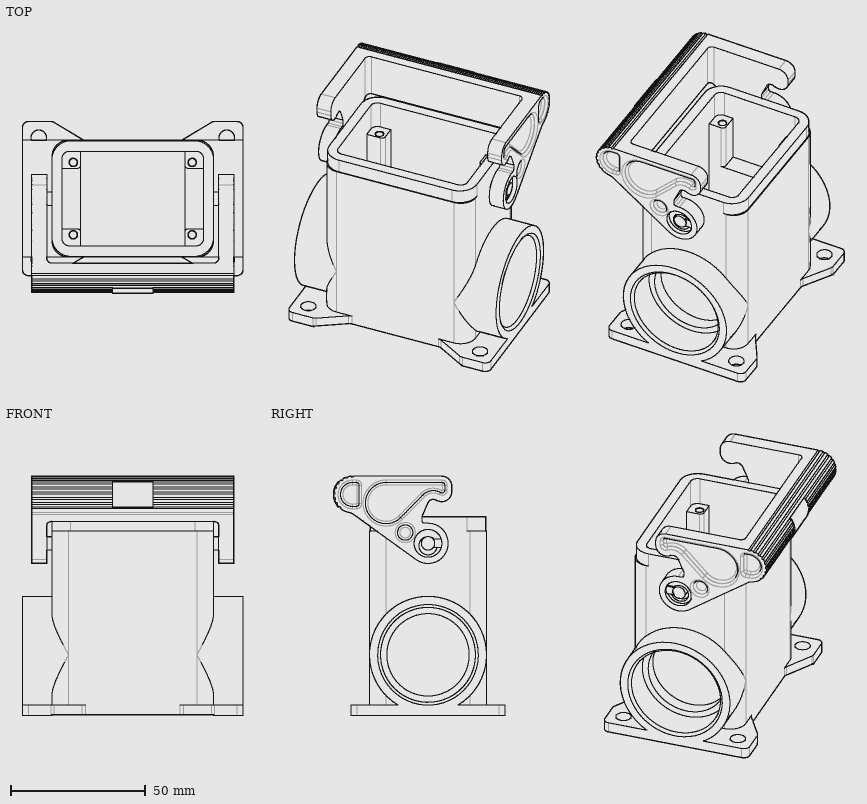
import cadquery as cq
import math

body_half_x = 30.0
body_half_y = 21.7
body_corner = 6.1
rim_half_y = 21.45
rim_corner = 6.9
shoulder_z = 68.5
top_z = 73.9
foot_recess = 0.4

cavity_half_x = 26.25
cavity_half_y = 17.5
cavity_corner = 2.7
floor_z = 4.0
well_half_x = 19.3
post_size_y = 6.3
post_corner = 1.3
post_top_z = 63.0
screw_x = 22.1
screw_y = 13.4
screw_radius = 1.4
screw_chamfer = 0.2
screw_depth = 10.7

plate_length = 82.0
plate_half_x = plate_length / 2
plate_half_y = 28.7
plate_thickness = 4.0
plate_corner = 2.3
tab_tip_x = 29.7
tab_root_x = 18.25
mount_hole_x = 34.9
mount_hole_y = 22.6
mount_hole_radius = 2.85

entry_z = 22.6
entry_radius = body_half_y
entry_bore_radius = 17.6
entry_bore_depth = 12.8
entry_lead_in = 1.1
knockout_radius = 15.3
knockout_depth = 17.8
ledge_z = entry_z + entry_radius

lever_half_x = 37.6
arm_inner_x = 31.9
bridge_y = -23.9
bridge_fillet = 1.8
lever_top_z = 89.0
hub_z = 64.0
hub_radius = 7.5
lower_edge_angle = 35.8
nose_y = 5.0
nose_radius = 3.9
nose_height = 9.6
grip_y = -28.0
grip_radius = 6.85
grip_blend = 3.6
hook_y = 2.0
hook_z = 78.1
hook_radius = 2.1
hook_start_angle = 160
hook_end_angle = 50
throat_y = -2.2
throat_z = top_z
throat_corner = 0.9

pocket_depth = 2.0
pocket_round = 0.9
pocket_corner = 1.1
sweep_y = -15.6
sweep_radius = 7.65
pocket_top_z = 86.6
pocket_nose_y = 6.2
hook_pocket_radius = 5.4
diagonal_angle = 45
grip_pocket_y = -25.5
grip_pocket_radius = 4.45
dimple_y = -8.45
dimple_z = 68.0
dimple_radius = 2.85
knurl_pitch = 17.0
knurl_first_angle = -47.0
knurl_count = 9
knurl_groove_radius = 0.4
pad_half_x = 7.6
pad_height = 0.3
pad_half_angle = 42.0

pin_radius = 2.5
pin_embed = 1.8
seat_radius = 5.2
seat_depth = 1.8
pin_end_depth = 0.7
key_depth = 1.1
cam_radius = 3.4
cam_depth = 3.6
key_height = 3.2

nose_upper_z = lever_top_z - nose_radius
nose_lower_z = lever_top_z - nose_height + nose_radius
grip_z = lever_top_z - grip_radius


def both_ends(shape):
    """Return the shape together with its mirror image across the YZ plane."""
    return shape.union(shape.mirror("YZ"))


def rounded_box(half_x, half_y, corner, bottom_z, height):
    """Upright box centred on the Z axis, with rounded vertical corners."""
    box = cq.Workplane("XY").workplane(offset=bottom_z).rect(2 * half_x, 2 * half_y).extrude(height)
    return box.edges("|Z").fillet(corner)


def cylinder_x(radius, start_x, end_x, y, z):
    """Cylinder along X between two X positions."""
    return cq.Workplane("YZ", origin=(start_x, 0, 0)).center(y, z).circle(radius).extrude(end_x - start_x)


def mounting_plate():
    """Plate with four drilled corner tabs that slope back to the housing walls."""
    quarter = [
        (tab_root_x, body_half_y),
        (tab_tip_x, plate_half_y),
        (plate_half_x, plate_half_y),
    ]
    right_side = quarter + [(x, -y) for x, y in reversed(quarter)]
    left_side = [(-x, -y) for x, y in right_side]
    plate = cq.Workplane("XY").polyline(right_side + left_side).close().extrude(plate_thickness)
    plate = plate.edges("|Z").fillet(plate_corner)
    holes = (
        cq.Workplane("XY")
        .rect(2 * mount_hole_x, 2 * mount_hole_y, forConstruction=True)
        .vertices()
        .circle(mount_hole_radius)
        .extrude(plate_thickness)
    )
    return plate.cut(holes)


def entry_recess():
    """Stepped blind bore at the -X end, with a lead-in chamfer at its mouth."""
    bore = cylinder_x(entry_bore_radius, -plate_half_x, entry_bore_depth - plate_half_x, 0, entry_z)
    step = cylinder_x(knockout_radius, -plate_half_x, knockout_depth - plate_half_x, 0, entry_z)
    mouth_centre = cq.Vector(-plate_half_x, 0, entry_z)
    lead_in = cq.Solid.makeCone(
        entry_bore_radius + entry_lead_in, entry_bore_radius, entry_lead_in, mouth_centre, cq.Vector(1, 0, 0)
    )
    return bore.union(step).union(cq.Workplane(lead_in))


def screw_posts():
    """Four corner posts standing on the ledges, each with a blind screw hole."""
    size_x = cavity_half_x - well_half_x
    post = (
        cq.Workplane("XY", origin=(0, 0, ledge_z))
        .center(cavity_half_x - size_x / 2, cavity_half_y - post_size_y / 2)
        .rect(size_x, post_size_y)
        .extrude(post_top_z - ledge_z)
        .edges("|Z and <X and <Y")
        .fillet(post_corner)
    )
    top_centre = cq.Vector(screw_x, screw_y, post_top_z)
    down = cq.Vector(0, 0, -1)
    hole = cq.Solid.makeCylinder(screw_radius, screw_depth, top_centre, down)
    mouth = cq.Solid.makeCone(screw_radius + screw_chamfer, screw_radius, screw_chamfer, top_centre, down)
    post = post.cut(cq.Workplane(hole)).cut(cq.Workplane(mouth))
    pair = both_ends(post)
    return pair.union(pair.mirror("XZ"))


def housing():
    """Hollow housing with its plate, cable entries and posts."""
    shell = rounded_box(body_half_x, body_half_y, body_corner, 0, shoulder_z)
    shell = shell.union(rounded_box(body_half_x, rim_half_y, rim_corner, shoulder_z, top_z - shoulder_z))
    shell = shell.union(mounting_plate())
    shell = shell.union(cylinder_x(entry_radius, -plate_half_x, plate_half_x, 0, entry_z))

    cavity = rounded_box(cavity_half_x, cavity_half_y, cavity_corner, ledge_z, top_z - ledge_z)
    well = cq.Workplane("XY", origin=(0, 0, floor_z)).rect(2 * well_half_x, 2 * cavity_half_y)
    well = well.extrude(top_z - floor_z)
    posts = screw_posts().intersect(rounded_box(cavity_half_x, cavity_half_y, cavity_corner, 0, top_z))
    underside = cq.Workplane("XY").rect(2 * body_half_x, 2 * plate_half_y).extrude(foot_recess)
    shell = shell.cut(cavity).cut(well).cut(underside)
    return shell.cut(both_ends(entry_recess())).union(posts)


def on_circle(y, z, radius, degrees):
    """Point on a circle in the YZ plane; the angle turns from +Y towards +Z."""
    angle = math.radians(degrees)
    return (y + radius * math.cos(angle), z + radius * math.sin(angle))


def lever_sketch():
    """Workplane on the outer face of the -X arm; its axes are Y and Z, extrusion goes inwards."""
    return cq.Workplane("YZ", origin=(-lever_half_x, 0, 0))


def lever_side():
    """The -X half of the lever as a solid slab: hub, hook opening, nose and grip."""
    slope = math.radians(lower_edge_angle)
    edge_start = on_circle(0, hub_z, hub_radius, -90 - lower_edge_angle)
    along_y = -math.cos(slope)
    along_z = math.sin(slope)
    to_grip_y = grip_y - edge_start[0]
    to_grip_z = grip_z - edge_start[1]
    foot = to_grip_y * along_y + to_grip_z * along_z
    half_chord = math.sqrt(grip_radius**2 - to_grip_y**2 - to_grip_z**2 + foot**2)
    run = foot - half_chord
    edge_end = (edge_start[0] + run * along_y, edge_start[1] + run * along_z)

    hub_top_z = hub_z + hub_radius
    slab = (
        lever_sketch()
        .moveTo(*edge_start)
        .threePointArc(on_circle(0, hub_z, hub_radius, 0), (0, hub_top_z))
        .lineTo(throat_y, hub_top_z)
        .lineTo(throat_y, throat_z)
        .lineTo(*on_circle(hook_y, hook_z, hook_radius, hook_start_angle))
        .threePointArc(
            on_circle(hook_y, hook_z, hook_radius, (hook_start_angle + hook_end_angle) / 2),
            on_circle(hook_y, hook_z, hook_radius, hook_end_angle),
        )
        .lineTo(nose_y, lever_top_z - nose_height)
        .radiusArc((nose_y + nose_radius, nose_lower_z), -nose_radius)
        .lineTo(nose_y + nose_radius, nose_upper_z)
        .radiusArc((nose_y, lever_top_z), -nose_radius)
        .lineTo(grip_y, lever_top_z)
        .threePointArc(on_circle(grip_y, grip_z, grip_radius, 180), edge_end)
        .close()
        .extrude(lever_half_x)
    )
    throat = cq.selectors.NearestToPointSelector((-lever_half_x / 2, throat_y, hub_top_z))
    blend = cq.selectors.NearestToPointSelector((-lever_half_x / 2, *edge_end))
    slab = slab.edges(throat).fillet(throat_corner)
    return slab.edges(blend).fillet(grip_blend)


def long_pocket():
    """Teardrop pocket that follows the top edge, the hook opening and a large round end."""
    sweep_z = pocket_top_z - sweep_radius
    nose_end_z = hook_z + math.sqrt(hook_pocket_radius**2 - (pocket_nose_y - hook_y) ** 2)
    return (
        lever_sketch()
        .moveTo(sweep_y, pocket_top_z)
        .threePointArc(
            on_circle(sweep_y, sweep_z, sweep_radius, 180),
            on_circle(sweep_y, sweep_z, sweep_radius, -diagonal_angle),
        )
        .lineTo(*on_circle(hook_y, hook_z, hook_pocket_radius, 180 - diagonal_angle))
        .threePointArc((hook_y, hook_z + hook_pocket_radius), (pocket_nose_y, nose_end_z))
        .lineTo(pocket_nose_y, pocket_top_z)
        .close()
        .extrude(pocket_depth)
        .edges("|X and >Y")
        .fillet(pocket_corner)
    )


def grip_pocket():
    """D-shaped pocket inside the round grip."""
    return (
        lever_sketch()
        .moveTo(grip_pocket_y, grip_z + grip_pocket_radius)
        .lineTo(grip_y, grip_z + grip_pocket_radius)
        .threePointArc((grip_y - grip_pocket_radius, grip_z), (grip_y, grip_z - grip_pocket_radius))
        .lineTo(grip_pocket_y, grip_z - grip_pocket_radius)
        .close()
        .extrude(pocket_depth)
        .edges("|X and >Y")
        .fillet(pocket_corner)
    )


def dimple():
    """Round blind pocket between the hub and the long pocket."""
    return lever_sketch().center(dimple_y, dimple_z).circle(dimple_radius).extrude(pocket_depth)


def round_pocket_rims(arm):
    """Fillet every pocket edge on the outer face of the arm."""
    outer_face = arm.faces("<X").val()
    rim_edges = [edge for wire in outer_face.innerWires() for edge in wire.Edges()]
    return arm.newObject(rim_edges).fillet(pocket_round)


def pivot_seat():
    """Round recess in the hub with a deeper off-centre bore that touches the top of the pin."""
    recess = lever_sketch().center(0, hub_z).circle(seat_radius).extrude(seat_depth)
    bore_z = hub_z + pin_radius - cam_radius
    return recess.union(lever_sketch().center(0, bore_z).circle(cam_radius).extrude(cam_depth))


def pivot():
    """Pin from the housing wall into the hub, with a key reaching to the +Y side of the recess."""
    buried_x = -cavity_half_x - pin_embed
    pin = cylinder_x(pin_radius, pin_end_depth - lever_half_x, buried_x, 0, hub_z)
    key = (
        cq.Workplane("YZ", origin=(key_depth - lever_half_x, 0, 0))
        .center(seat_radius / 2, hub_z)
        .rect(seat_radius, key_height)
        .extrude(cam_depth - key_depth)
    )
    return pin.union(key)


def knurl_grooves():
    """Round-bottomed grooves along X, spaced evenly around the grip."""
    grooves = lever_sketch().pushPoints(
        [
            on_circle(grip_y, grip_z, grip_radius, 180 - knurl_first_angle - index * knurl_pitch)
            for index in range(knurl_count)
        ]
    )
    return grooves.circle(knurl_groove_radius).extrude(2 * lever_half_x)


def thumb_pad():
    """Smooth raised patch in the middle of the knurled grip."""
    outer = grip_radius + pad_height
    start = on_circle(grip_y, grip_z, outer, 180 - pad_half_angle)
    end = on_circle(grip_y, grip_z, outer, 180 + pad_half_angle)
    return (
        cq.Workplane("YZ", origin=(-pad_half_x, 0, 0))
        .moveTo(grip_y, grip_z)
        .lineTo(*start)
        .threePointArc((grip_y - outer, grip_z), end)
        .close()
        .extrude(2 * pad_half_x)
    )


def lever():
    """Locking lever: two hooked arms joined by the knurled grip, plus the pivots that carry it."""
    arm = lever_side()
    opening_length = nose_y + nose_radius - bridge_y
    opening = (
        cq.Workplane("XY", origin=(0, bridge_y, 0))
        .center(0, opening_length / 2)
        .rect(2 * arm_inner_x, opening_length)
        .extrude(lever_top_z)
        .edges("|Z and <Y")
        .fillet(bridge_fillet)
    )
    for pocket in (long_pocket(), grip_pocket(), dimple()):
        arm = arm.cut(pocket.faces(">X").edges().fillet(pocket_round))
    arm = round_pocket_rims(arm)
    arm = arm.cut(opening).cut(pivot_seat())
    arm = arm.union(pivot())
    return both_ends(arm).cut(knurl_grooves()).union(thumb_pad())


result = housing().union(lever())